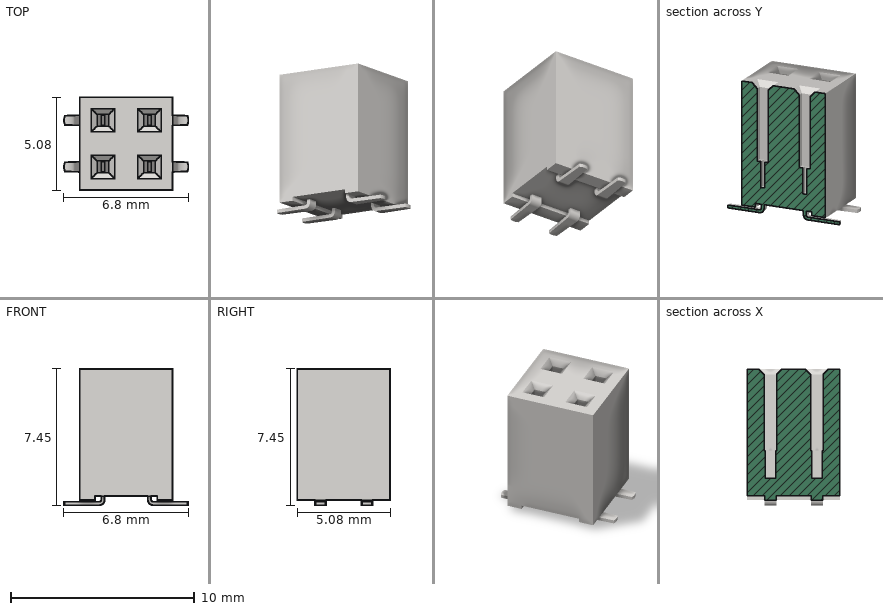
import cadquery as cq

body_side = 5.08
total_height = 7.45
body_bottom = 0.28
recess_top = 0.5
recess_width = 3.38

lead_span = 6.8
lead_thickness = 0.19
lead_width = 0.64
tip_width = 0.515
tip_bulge = 0.06
bend_inner_radius = 0.11
bend_outer_radius = bend_inner_radius + lead_thickness
contact_top = 1.49

pitch = 2.54
mouth_side = 1.275
hole_side = 0.64
mouth_depth = (mouth_side - hole_side) / 2
hole_depth = 4.47
slot_length = 0.56
slot_depth = total_height - contact_top

stem_inner_x = (pitch - lead_thickness) / 2
stem_outer_x = stem_inner_x + lead_thickness
bend_end_x = stem_inner_x + bend_outer_radius
tip_end_x = lead_span / 2
tip_corner_x = tip_end_x - tip_bulge


def make_housing():
    """Square block standing on two side feet left by a groove along Y."""
    block = cq.Workplane("XY").workplane(offset=body_bottom).rect(body_side, body_side)
    block = block.extrude(total_height - body_bottom)
    groove = cq.Workplane("XY").box(recess_width, body_side, 2 * recess_top)
    return block.cut(groove)


def make_socket():
    """Cutter for one socket, centred on the Z axis and reaching down from the top face."""
    top_plane = cq.Workplane("XY").workplane(offset=total_height)
    mouth = (
        top_plane.rect(mouth_side, mouth_side)
        .workplane(offset=-mouth_depth)
        .rect(hole_side, hole_side)
        .loft(ruled=True)
    )
    hole = top_plane.rect(hole_side, hole_side).extrude(-hole_depth)
    slot = top_plane.rect(lead_thickness, slot_length).extrude(-slot_depth)
    return mouth.union(hole).union(slot)


def make_lead():
    """Stem, quarter bend and tapered foot of a contact that points to +X."""
    side_profile = (
        cq.Workplane("XZ")
        .moveTo(stem_inner_x, contact_top)
        .lineTo(stem_inner_x, bend_outer_radius)
        .radiusArc((bend_end_x, 0), -bend_outer_radius)
        .lineTo(bend_end_x, lead_thickness)
        .radiusArc((stem_outer_x, bend_outer_radius), bend_inner_radius)
        .lineTo(stem_outer_x, contact_top)
        .close()
    )
    stem_and_bend = side_profile.extrude(lead_width / 2, both=True)
    foot = (
        cq.Workplane("XY")
        .moveTo(bend_end_x, -lead_width / 2)
        .lineTo(tip_corner_x, -tip_width / 2)
        .threePointArc((tip_end_x, 0), (tip_corner_x, tip_width / 2))
        .lineTo(bend_end_x, lead_width / 2)
        .close()
        .extrude(lead_thickness)
    )
    return stem_and_bend.union(foot)


result = make_housing()
socket = make_socket()
lead = make_lead()
mirrored_lead = lead.mirror("YZ")

for row_y in (-pitch / 2, pitch / 2):
    for column_x in (-pitch / 2, pitch / 2):
        result = result.cut(socket.translate((column_x, row_y, 0)))
    for contact in (lead, mirrored_lead):
        result = result.union(contact.translate((0, row_y, 0)))